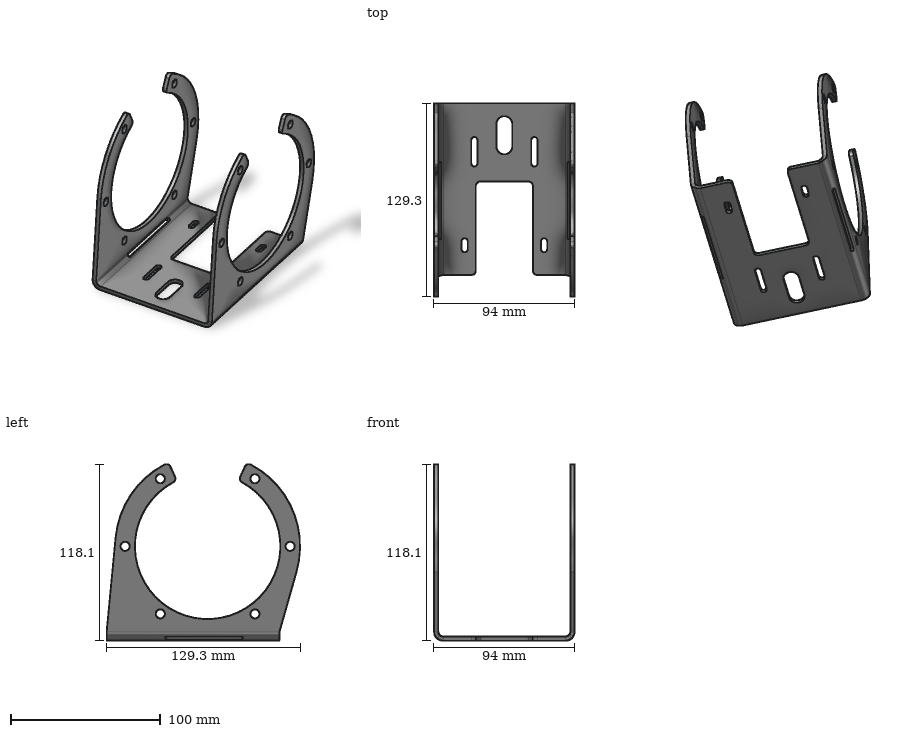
import cadquery as cq
import math


thickness = 3.0
inner_bend_radius = 3.2
outer_bend_radius = inner_bend_radius + thickness
width = 94.0

bore_height = 63.1
bore_radius = 48.5
ring_radius = 61.8
gap_half_angle = 25
tip_fillet = 3.0
back_edge = 67.5
base_length = 114.9
bend_front_length = 115.7
base_front = back_edge - base_length
bend_front = back_edge - bend_front_length

bolt_circle_radius = 55.1
bolt_hole_diameter = 6.0
bolt_angles = (0, 55, 125, 180, 235, 305)

notch_width = 38.0
notch_start = 52.4
notch_fillet = 3.0
large_slot = (25.4, 10.5)
large_slot_setback = 21.5
long_slot = (19.5, 4.0)
long_slot_offset = 20.0
long_slot_setback = 32.5
short_slot = (9.2, 4.0)
short_slot_offset = 26.5
short_slot_setback = 95.0

bend_slot = (52.0, 2.5)
bend_slot_setback = 65.1


def polar(radius, degrees):
    """Point in the cheek plane at an angle from +Y about the bore axis."""
    angle = math.radians(degrees)
    return radius * math.cos(angle), bore_height + radius * math.sin(angle)


def tangent_angle(y, z):
    """Angle between the line from the bore axis to (y, z) and its tangent point's radius."""
    distance = math.hypot(y, z - bore_height)
    return math.degrees(math.acos(ring_radius / distance))


def bearing(y, z):
    """Angle of (y, z) about the bore axis, from +Y."""
    return math.degrees(math.atan2(z - bore_height, y))


def make_channel():
    """Bent U-channel long enough to contain the whole cheek outline."""
    front = -ring_radius
    length = back_edge - front
    height = bore_height + ring_radius
    outer = (
        cq.Workplane("XY")
        .box(width, length, height, centered=(True, False, False))
        .edges("|Y and <Z")
        .fillet(outer_bend_radius)
    )
    inner = (
        cq.Workplane("XY", origin=(0, 0, thickness))
        .box(width - 2 * thickness, length, height, centered=(True, False, False))
        .edges("|Y and <Z")
        .fillet(inner_bend_radius)
    )
    return outer.cut(inner).translate((0, front, 0))


def make_cheek_profile():
    """Open ring with straight flanks tangent to it, extruded over the full width."""
    back_foot = (back_edge, outer_bend_radius)
    front_foot = (bend_front, outer_bend_radius)
    back_tangent = bearing(*back_foot) + tangent_angle(*back_foot)
    front_tangent = bearing(*front_foot) - tangent_angle(*front_foot)
    back_tip = 90 - gap_half_angle
    front_tip = -270 + gap_half_angle

    return (
        cq.Workplane("YZ")
        .moveTo(back_edge, 0)
        .lineTo(*back_foot)
        .lineTo(*polar(ring_radius, back_tangent))
        .threePointArc(
            polar(ring_radius, (back_tangent + back_tip) / 2),
            polar(ring_radius, back_tip),
        )
        .lineTo(*polar(bore_radius, back_tip))
        .threePointArc(polar(bore_radius, -90), polar(bore_radius, front_tip))
        .lineTo(*polar(ring_radius, front_tip))
        .threePointArc(
            polar(ring_radius, (front_tip + front_tangent) / 2),
            polar(ring_radius, front_tangent),
        )
        .lineTo(*front_foot)
        .lineTo(bend_front, 0)
        .close()
        .extrude(width / 2, both=True)
        .edges("|X")
        .edges(">Z or >>Z[-2]")
        .fillet(tip_fillet)
    )


def make_bolt_holes():
    """Bolt holes through both cheeks."""
    return (
        cq.Workplane("YZ")
        .pushPoints([polar(bolt_circle_radius, angle) for angle in bolt_angles])
        .circle(bolt_hole_diameter / 2)
        .extrude(width, both=True)
    )


def make_base_slot(size, setback, offsets):
    """Slots along Y through the base, at the given X offsets."""
    return (
        cq.Workplane("XY")
        .pushPoints([(x, back_edge - setback) for x in offsets])
        .slot2D(*size, 90)
        .extrude(thickness)
    )


def make_front_opening():
    """Notch with rounded corners, plus the waste slanting forward across the bends to the cheeks."""
    cheek_inside = width / 2 - thickness
    bend_start = width / 2 - outer_bend_radius
    notch_side = notch_width / 2
    notch_end = back_edge - notch_start
    return (
        cq.Workplane("XY")
        .polyline([
            (-cheek_inside, bend_front),
            (-bend_start, base_front),
            (-notch_side, base_front),
            (-notch_side, notch_end),
            (notch_side, notch_end),
            (notch_side, base_front),
            (bend_start, base_front),
            (cheek_inside, bend_front),
        ])
        .close()
        .extrude(outer_bend_radius)
        .edges("|Z")
        .filter(lambda edge: abs(edge.Center().x) < bend_start - notch_fillet)
        .fillet(notch_fillet)
    )


def make_bend_slot(side):
    """Slot along one bend, cut square to the bend's 45 degree mid-line."""
    center = (
        side * (width / 2 - outer_bend_radius),
        back_edge - bend_slot_setback,
        outer_bend_radius,
    )
    outward = cq.Plane(origin=center, xDir=(0, 1, 0), normal=(side, 0, -1))
    return cq.Workplane(outward).slot2D(*bend_slot).extrude(2 * outer_bend_radius)


result = make_channel().intersect(make_cheek_profile())
result = result.cut(make_bolt_holes())
result = result.cut(make_front_opening())
result = result.cut(make_base_slot(large_slot, large_slot_setback, [0]))
result = result.cut(make_base_slot(long_slot, long_slot_setback, [-long_slot_offset, long_slot_offset]))
result = result.cut(make_base_slot(short_slot, short_slot_setback, [-short_slot_offset, short_slot_offset]))
for side in (-1, 1):
    result = result.cut(make_bend_slot(side))